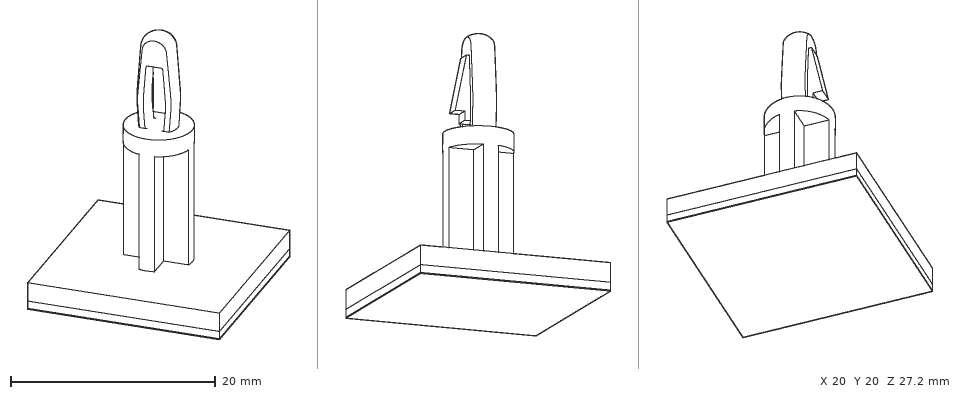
import cadquery as cq
import math

base_side = 20.0
liner_thickness = 0.1
pad_thickness = 0.8
plate_thickness = 2.0
pad_bottom = liner_thickness
plate_bottom = pad_bottom + pad_thickness
plate_top = plate_bottom + plate_thickness

total_height = 27.23
post_diameter = 7.0
rib_thickness = 1.58
shoulder_thickness = 1.82
head_height = 10.05
shoulder_top = total_height - head_height
shoulder_bottom = shoulder_top - shoulder_thickness

head_thickness = 2.5
head_root_radius = 2.0
head_widest_radius = 2.15
band_bottom = 19.9
band_top = 20.55
dome_base_radius = 1.77
dome_height = 1.42
tip_flat_radius = 0.15
dome_width = dome_base_radius - tip_flat_radius
dome_base = total_height - dome_height
dome_radius = (dome_width**2 + dome_height**2) / (2 * dome_height)
dome_angle = 2 * math.atan2(dome_height, dome_width)

slot_top = 24.0
slot_top_half_width = 0.87
slot_middle_half_width = 1.15
slot_root_half_width = 0.98
slot_band_bottom = 19.3
slot_band_top = 20.45
slot_top_fillet = 0.22
slot_root_fillet = 0.22

latch_width = rib_thickness
latch_front = 0.55
latch_root_radius = 1.2
latch_top = 24.83
latch_top_reach = 1.55
latch_tip_reach = 2.72
latch_tip_height = 19.17
latch_heel_reach = 1.72
latch_bottom = 18.25


def square_layer(bottom, thickness):
    """Square sheet of the base footprint."""
    layer = cq.Workplane("XY").workplane(offset=bottom)
    return layer.rect(base_side, base_side).extrude(thickness)


def make_post():
    """Four ribs with rounded tips under a round shoulder."""
    height = shoulder_bottom - plate_top
    column = cq.Workplane("XY").workplane(offset=plate_top)
    ribs = column.rect(post_diameter, rib_thickness).extrude(height)
    ribs = ribs.union(column.rect(rib_thickness, post_diameter).extrude(height))
    ribs = ribs.intersect(column.circle(post_diameter / 2).extrude(height))
    shoulder = (
        cq.Workplane("XY").workplane(offset=shoulder_bottom)
        .circle(post_diameter / 2).extrude(shoulder_thickness)
    )
    return ribs.union(shoulder)


def make_slot():
    """Barrel-shaped opening through the head, rounded at its four corners."""
    half_outline = [
        (slot_root_half_width, shoulder_top),
        (slot_middle_half_width, slot_band_bottom),
        (slot_middle_half_width, slot_band_top),
        (slot_top_half_width, slot_top),
    ]
    mirrored = [(-x, z) for x, z in reversed(half_outline)]
    slot = (
        cq.Workplane("XZ").polyline(half_outline + mirrored).close()
        .extrude(head_thickness, both=True)
    )
    top_corners = cq.selectors.BoxSelector(
        (-post_diameter, -post_diameter, slot_top - 0.03),
        (post_diameter, post_diameter, slot_top + 0.03),
    )
    slot = slot.edges("|Y").edges(top_corners).fillet(slot_top_fillet)
    return slot.edges("|Y").edges("<Z").fillet(slot_root_fillet)


def make_head():
    """Domed, turned head with two flats, split by the slot."""
    arc_middle = (
        tip_flat_radius + dome_radius * math.sin(dome_angle / 2),
        total_height - dome_radius * (1 - math.cos(dome_angle / 2)),
    )
    turned = (
        cq.Workplane("XZ")
        .moveTo(0, shoulder_top)
        .lineTo(head_root_radius, shoulder_top)
        .lineTo(head_widest_radius, band_bottom)
        .lineTo(head_widest_radius, band_top)
        .lineTo(dome_base_radius, dome_base)
        .threePointArc(arc_middle, (tip_flat_radius, total_height))
        .lineTo(0, total_height)
        .close()
        .revolve(360, (0, 0, 0), (0, 1, 0))
    )
    flats = (
        cq.Workplane("XY").workplane(offset=shoulder_top)
        .rect(base_side, head_thickness).extrude(head_height)
    )
    return turned.intersect(flats).cut(make_slot())


def make_latch():
    """Wedge-shaped tongue with a curved root under the slot's top."""
    root_centre_y = latch_front - latch_root_radius
    root_centre_z = slot_top - latch_root_radius
    diagonal = latch_root_radius * math.sqrt(0.5)
    return (
        cq.Workplane("YZ")
        .moveTo(latch_front, latch_bottom)
        .lineTo(latch_heel_reach, latch_bottom)
        .lineTo(latch_heel_reach, latch_tip_height)
        .lineTo(latch_tip_reach, latch_tip_height)
        .lineTo(latch_top_reach, latch_top)
        .lineTo(root_centre_y, latch_top)
        .lineTo(root_centre_y, slot_top)
        .threePointArc(
            (root_centre_y + diagonal, root_centre_z + diagonal),
            (latch_front, root_centre_z),
        )
        .close()
        .extrude(latch_width / 2, both=True)
    )


def make_support():
    """Plate, post, snap head and latch as one moulded body."""
    plate = square_layer(plate_bottom, plate_thickness)
    return plate.union(make_post()).union(make_head()).union(make_latch())


liner = square_layer(0, liner_thickness)
adhesive_pad = square_layer(pad_bottom, pad_thickness)
support = make_support()

result = cq.Compound.makeCompound([liner.val(), adhesive_pad.val(), support.val()])